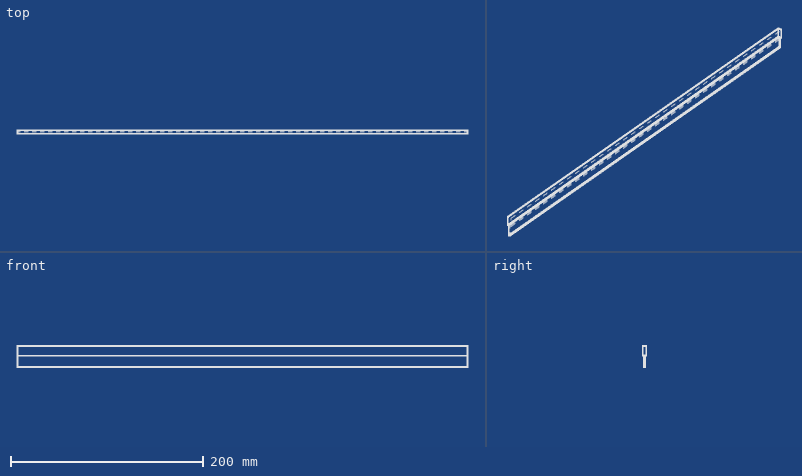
import cadquery as cq

length = 468.0
total_height = 22.0
head_thickness = 4.0
head_height = 10.0
blade_thickness = 1.5

blade_height = total_height - head_height


def centered_bar(thickness, height, bottom):
    """Full-length bar centred on X and Y, standing on the given Z level."""
    return (
        cq.Workplane("XY", origin=(0, 0, bottom))
        .box(length, thickness, height, centered=(True, True, False))
    )


blade = centered_bar(blade_thickness, blade_height, 0)
head = centered_bar(head_thickness, head_height, blade_height)

result = head.union(blade)